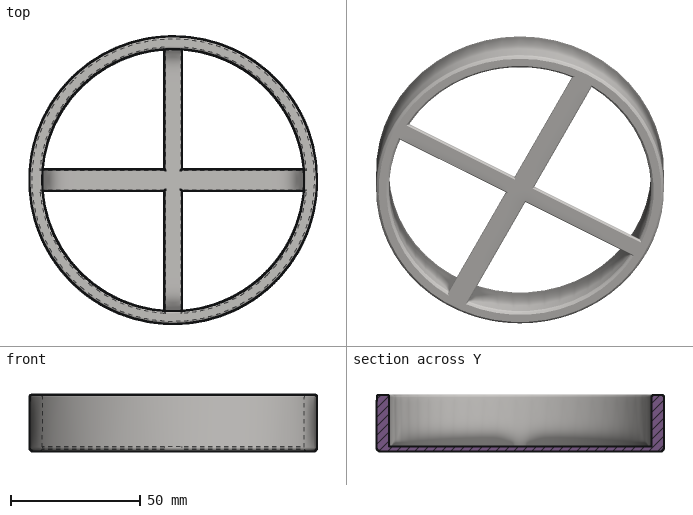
import cadquery as cq

OUTER_DIAMETER = 111.5
INNER_DIAMETER = 101.5
HEIGHT = 22.0
RING_CHAMFER = 1.0
RING_FILLET = 1.0

X_BAR_WIDTH = 8.5
Y_BAR_WIDTH = 7.0
BAR_THICKNESS = 2.0
BAR_CHAMFER = 0.5
BAR_FILLET = 0.7

BAR_LENGTH = (OUTER_DIAMETER + INNER_DIAMETER) / 2


def edges_at_height(z):
    """Select the edges that lie wholly in the horizontal plane at height z."""
    reach = OUTER_DIAMETER
    tolerance = 0.01
    lower_corner = (-reach, -reach, z - tolerance)
    upper_corner = (reach, reach, z + tolerance)
    return cq.selectors.BoxSelector(lower_corner, upper_corner, boundingbox=True)


def soften_edges(body, chamfer, fillet):
    """Round the upper edges; chamfer the lower edges and round the corner above each chamfer."""
    body = body.faces(">Z").edges().fillet(fillet)
    body = body.faces("<Z").edges().chamfer(chamfer)
    return body.edges(edges_at_height(chamfer)).fillet(fillet)


def make_ring():
    ring = (
        cq.Workplane("XY")
        .circle(OUTER_DIAMETER / 2)
        .circle(INNER_DIAMETER / 2)
        .extrude(HEIGHT)
    )
    return soften_edges(ring, RING_CHAMFER, RING_FILLET)


def make_bar(x_size, y_size):
    return cq.Workplane("XY").box(x_size, y_size, BAR_THICKNESS, centered=(True, True, False))


def make_cross():
    x_bar = make_bar(BAR_LENGTH, X_BAR_WIDTH)
    y_bar = make_bar(Y_BAR_WIDTH, BAR_LENGTH)
    return soften_edges(x_bar.union(y_bar), BAR_CHAMFER, BAR_FILLET)


result = make_ring().union(make_cross())